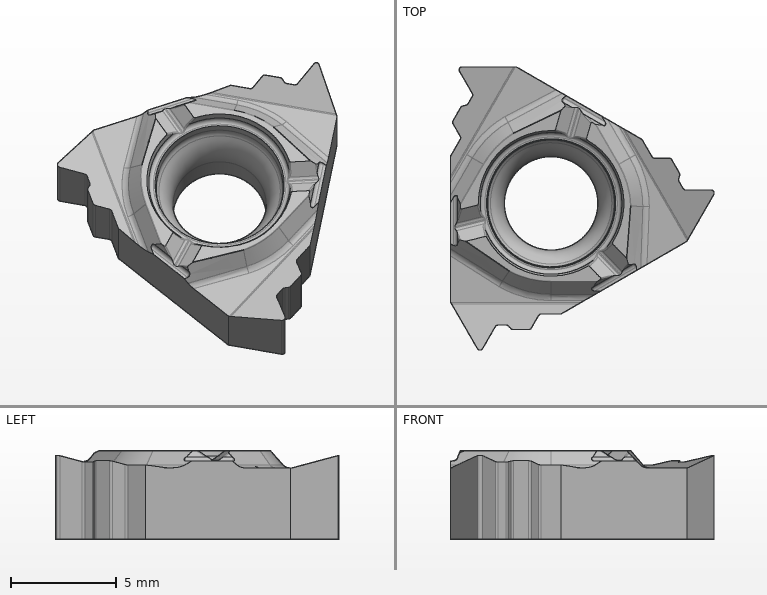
import cadquery as cq
import math


TOP_Z = 4.2
FLOOR_Z = 3.38
INSCRIBED_RADIUS = 4.76
STEPS = (0, 120, 240)
BLANK_SIZE = 18.72
CLEARANCE = 0.13
EDGE_MARGIN = 0.01

FLANK_DISTANCE = 6.45
FLANK_ANGLE = 60
TIP_X = -3.35
ROOT_Y = -5.75
CREST_Y = -5.96
CREST_LEFT_X = -1.85
CREST_RIGHT_X = -0.98
LAND_Y = -5.23
PROFILE_RADIUS = 0.15

RAKE_ANGLE = 15
RAKE_START_Y = -4.72
RAKE_BLEND_RADIUS = 0.23

ISLAND_TOP_WALL_Y = -3.69
ISLAND_TOP_ARC_END = (-1.98, -3.2)
ISLAND_TOP_SLANT = 34.4
ISLAND_BASE_WALL_Y = -4.41
ISLAND_BASE_ARC_END = (-2.37, -3.77)
ISLAND_BASE_SLANT = 32.0
ISLAND_BLEND_RADIUS = 0.4
ISLAND_TOP_RADIUS = 0.03

BORE_RADIUS = 4.4 / 2
SEAT_START_Z = 1.42
SEAT_CURVE_RADIUS = 2.05
SEAT_TOP_Z = 2.93
NECK_BLEND_Z = 3.32
NECK_BLEND_RADIUS = 3.0
NECK_TOP_Z = 3.7
NECK_RADIUS = 3.05
LEDGE_RADIUS = 3.13
RIM_LOW_RADIUS = 3.34
RIM_LOW_Z = 3.93
RIM_RADIUS = 3.44

GROOVE_ANGLE = 194
GROOVE_TOP_WIDTH = 1.52
GROOVE_FLOOR_WIDTH = 0.21
GROOVE_BLEND_RADIUS = 0.24
GROOVE_FLOOR_Z = 3.72
GROOVE_START = 2.67
GROOVE_LENGTH = 2.67
GROOVE_END_REACH = 0.6
GROOVE_RIM_ROUND = 0.08
GROOVE_PAD_ROUND = 0.07

PAD_Z = 3.7
PAD_START_Y = -2.05
PAD_END_Y = 0.43
PAD_FLAT_WIDTH = 0.15
PAD_DEPTH = 0.35
PAD_BLEND_Z = 3.9
PAD_TOP_DEPTH = 0.48
PAD_END_RADIUS = 0.11


def turn(point, angle):
    """Rotate a plan point about the bore axis."""
    c = math.cos(math.radians(angle))
    s = math.sin(math.radians(angle))
    return (point[0] * c - point[1] * s, point[0] * s + point[1] * c)


def around(shape):
    """Repeat a solid at each of the three steps."""
    copies = [shape.rotate((0, 0, 0), (0, 0, 1), step) for step in STEPS]
    return copies[0].union(copies[1]).union(copies[2])


def outline_prism():
    flank_slope = math.tan(math.radians(FLANK_ANGLE))
    sin_flank = math.sin(math.radians(FLANK_ANGLE))
    cos_flank = math.cos(math.radians(FLANK_ANGLE))

    side_corner = (-INSCRIBED_RADIUS, (INSCRIBED_RADIUS * sin_flank - FLANK_DISTANCE) / cos_flank)
    tip_y = -(FLANK_DISTANCE + TIP_X * sin_flank) / cos_flank
    root_left_x = TIP_X + (ROOT_Y - tip_y) / flank_slope
    root_right_x = CREST_LEFT_X - (ROOT_Y - CREST_Y)
    land_left_x = CREST_RIGHT_X + (LAND_Y - CREST_Y) / flank_slope
    land_corner = ((INSCRIBED_RADIUS + LAND_Y * sin_flank) / cos_flank, LAND_Y)
    rounded = [
        (TIP_X, tip_y),
        (root_left_x, ROOT_Y),
        (root_right_x, ROOT_Y),
        (CREST_LEFT_X, CREST_Y),
        (CREST_RIGHT_X, CREST_Y),
        (land_left_x, LAND_Y),
    ]

    tooth = [side_corner] + rounded + [land_corner]
    outline = [turn(point, step) for step in STEPS for point in tooth]
    prism = cq.Workplane("XY").polyline(outline).close().extrude(TOP_Z)

    upright = prism.edges("|Z")
    edges = []
    for step in STEPS:
        for point in rounded:
            x, y = turn(point, step)
            edges.append(upright.edges(cq.selectors.NearestToPointSelector((x, y, TOP_Z / 2))).val())
    return cq.Workplane(prism.val().fillet(PROFILE_RADIUS, edges))


def island_wire(plane, wall_y, arc_end, slant):
    """Closed island outline; straight walls of neighbouring teeth run out to a shared corner."""
    run = turn((-1, 0), -slant)
    next_end = turn(arc_end, STEPS[1])
    next_run = turn(run, STEPS[1])
    corner_x = next_end[0] + next_run[0] * (wall_y - next_end[1]) / next_run[1]
    corner = (corner_x, wall_y)

    path = plane.moveTo(*corner)
    for step in (0, -120, -240):
        path = path.lineTo(*turn((0, wall_y), step))
        path = path.tangentArcPoint(turn(arc_end, step), relative=False)
        path = path.lineTo(*turn(corner, step - 120))
    return path.wire()


def island_stock():
    base = cq.Workplane("XY").workplane(offset=FLOOR_Z)
    wire = island_wire(base, ISLAND_BASE_WALL_Y, ISLAND_BASE_ARC_END, ISLAND_BASE_SLANT)
    wire = island_wire(
        wire.workplane(offset=TOP_Z - FLOOR_Z), ISLAND_TOP_WALL_Y, ISLAND_TOP_ARC_END, ISLAND_TOP_SLANT
    )
    island = wire.loft(ruled=True)
    slab = cq.Workplane("XY").box(BLANK_SIZE, BLANK_SIZE, FLOOR_Z, centered=(True, True, False))
    half = BLANK_SIZE / 2 - CLEARANCE
    foot = cq.selectors.BoxSelector(
        (-half, -half, FLOOR_Z - EDGE_MARGIN), (half, half, FLOOR_Z + EDGE_MARGIN)
    )
    blended = slab.union(island).edges(foot).fillet(ISLAND_BLEND_RADIUS)
    return blended.faces(">Z").edges().fillet(ISLAND_TOP_RADIUS)


def rake_wedge():
    """Rising tooth face, blended into the trough by a small radius."""
    rake = math.radians(RAKE_ANGLE)
    tangent = RAKE_BLEND_RADIUS * math.tan(rake / 2)
    length = BLANK_SIZE / 2 + RAKE_START_Y
    profile = (
        cq.Workplane("YZ")
        .moveTo(RAKE_START_Y + tangent, FLOOR_Z)
        .lineTo(RAKE_START_Y + tangent, 0)
        .lineTo(RAKE_START_Y - length, 0)
        .lineTo(RAKE_START_Y - length, FLOOR_Z + length * math.tan(rake))
        .lineTo(RAKE_START_Y - tangent * math.cos(rake), FLOOR_Z + tangent * math.sin(rake))
        .tangentArcPoint((RAKE_START_Y + tangent, FLOOR_Z), relative=False)
        .close()
    )
    return profile.extrude(BLANK_SIZE / 2, both=True)


def bore_cutter():
    rise = SEAT_TOP_Z - SEAT_START_Z
    seat_top_radius = BORE_RADIUS + SEAT_CURVE_RADIUS - math.sqrt(SEAT_CURVE_RADIUS**2 - rise**2)
    return (
        cq.Workplane("XZ")
        .moveTo(0, 0)
        .lineTo(BORE_RADIUS, 0)
        .lineTo(BORE_RADIUS, SEAT_START_Z)
        .tangentArcPoint((seat_top_radius, SEAT_TOP_Z), relative=False)
        .tangentArcPoint((NECK_BLEND_RADIUS, NECK_BLEND_Z), relative=False)
        .lineTo(NECK_RADIUS, NECK_TOP_Z)
        .lineTo(LEDGE_RADIUS, NECK_TOP_Z)
        .tangentArcPoint((RIM_LOW_RADIUS, RIM_LOW_Z), relative=False)
        .lineTo(RIM_RADIUS, TOP_Z)
        .lineTo(0, TOP_Z)
        .close()
        .revolve(360, (0, 0, 0), (0, 1, 0))
    )


def groove_cutter():
    profile = (
        cq.Workplane("YZ")
        .workplane(offset=GROOVE_START)
        .moveTo(-GROOVE_FLOOR_WIDTH / 2, GROOVE_FLOOR_Z)
        .lineTo(GROOVE_FLOOR_WIDTH / 2, GROOVE_FLOOR_Z)
        .lineTo(GROOVE_TOP_WIDTH / 2, TOP_Z)
        .lineTo(-GROOVE_TOP_WIDTH / 2, TOP_Z)
        .close()
    )
    groove = profile.extrude(GROOVE_LENGTH).faces("<Z").edges("|X").fillet(GROOVE_BLEND_RADIUS)
    return groove.rotate((0, 0, 0), (0, 0, 1), GROOVE_ANGLE)


def pad_cutter():
    """Step along the long side that faces -X."""
    side = -INSCRIBED_RADIUS
    profile = (
        cq.Workplane("XZ", origin=(0, PAD_END_Y, 0))
        .moveTo(side - CLEARANCE, PAD_Z)
        .lineTo(side + PAD_FLAT_WIDTH, PAD_Z)
        .tangentArcPoint((side + PAD_DEPTH, PAD_BLEND_Z), relative=False)
        .lineTo(side + PAD_TOP_DEPTH, TOP_Z)
        .lineTo(side - CLEARANCE, TOP_Z)
        .close()
    )
    step = profile.extrude(PAD_END_Y - PAD_START_Y)
    inner = cq.selectors.BoxSelector(
        (side + PAD_FLAT_WIDTH / 2, PAD_START_Y - CLEARANCE, PAD_Z - CLEARANCE),
        (0, PAD_END_Y + CLEARANCE, TOP_Z - EDGE_MARGIN),
    )
    end_edges = step.faces("<Y or >Y").edges(inner)
    return end_edges.fillet(PAD_END_RADIUS)


def round_groove_ends(body, radius, near, far, low_z):
    """Round the edges crossing the grooves between two distances from the bore axis, above low_z."""
    crossing = []
    for edge in body.edges().vals():
        middle = edge.Center()
        distance = math.hypot(middle.x, middle.y)
        angle = math.degrees(math.atan2(middle.y, middle.x))
        off_groove = min(abs((angle - GROOVE_ANGLE - step + 180) % 360 - 180) for step in STEPS)
        in_height = low_z < middle.z < TOP_Z - EDGE_MARGIN
        sideways = distance * math.sin(math.radians(off_groove))
        if near < distance < far and sideways < GROOVE_END_REACH and in_height:
            crossing.append(edge)
    rounded = body.val().fillet(radius, crossing)
    return cq.Workplane(rounded.Solids()[0])


stock = island_stock().union(around(rake_wedge()))
insert = outline_prism().intersect(stock)
insert = insert.cut(around(groove_cutter())).cut(around(pad_cutter())).cut(bore_cutter())
insert = round_groove_ends(
    insert,
    GROOVE_RIM_ROUND,
    (LEDGE_RADIUS + RIM_LOW_RADIUS) / 2,
    RIM_RADIUS,
    GROOVE_FLOOR_Z - EDGE_MARGIN,
)
result = round_groove_ends(
    insert,
    GROOVE_PAD_ROUND,
    INSCRIBED_RADIUS - PAD_TOP_DEPTH,
    INSCRIBED_RADIUS - PAD_FLAT_WIDTH / 2,
    PAD_BLEND_Z + EDGE_MARGIN,
)